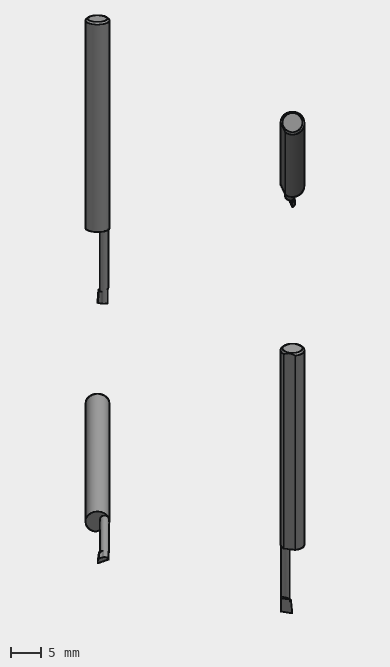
import cadquery as cq
import math

total_length = 50.0
shank_diameter = 4.0
shank_radius = shank_diameter / 2
flat_y = 1.75
shank_chamfer = 0.35

neck_length = 13.0
neck_radius = 0.75
neck_x = shank_radius - neck_radius

rake_face_length = 2.55
head_height = 2.2
tip_x = 0.04
flank_setback = 0.19
flank_width = 0.29
flank_depth = 0.65
flank_bulge = 0.05
heel_width = 0.48
end_dish_angle = 2.0
end_relief_angle = 5.0


def make_shank():
    shank = (
        cq.Workplane("XY", origin=(0, 0, neck_length))
        .circle(shank_radius)
        .extrude(total_length - neck_length)
        .faces(">Z")
        .chamfer(shank_chamfer)
    )
    beyond_flat = cq.Workplane("XY").box(
        shank_diameter, shank_diameter, total_length, centered=(True, False, False)
    )
    return shank.cut(beyond_flat.translate((0, flat_y, 0)))


def make_neck():
    neck = (
        cq.Workplane("XY", origin=(neck_x, 0, 0))
        .circle(neck_radius)
        .extrude(neck_length)
    )
    rake_cut = (
        cq.Workplane("YZ")
        .moveTo(0, 0)
        .lineTo(0, rake_face_length)
        .lineTo(neck_radius, rake_face_length + neck_radius)
        .lineTo(neck_radius, 0)
        .close()
        .extrude(shank_diameter)
    )
    return neck.cut(rake_cut)


def head_section(workplane, edge_x):
    """Half section of the head with its cutting edge at (edge_x, 0)."""
    chord = math.hypot(flank_width, flank_depth)
    flank_middle = (
        edge_x + flank_width / 2 - flank_bulge * flank_depth / chord,
        -flank_depth / 2 - flank_bulge * flank_width / chord,
    )
    return (
        workplane.moveTo(edge_x, 0)
        .threePointArc(flank_middle, (edge_x + flank_width, -flank_depth))
        .lineTo(edge_x + heel_width, -neck_radius)
        .lineTo(neck_x, -neck_radius)
        .lineTo(neck_x, 0)
        .close()
    )


def make_head():
    bottom = head_section(cq.Workplane("XY"), tip_x)
    return head_section(bottom.workplane(offset=head_height), tip_x + flank_setback).loft(ruled=True)


def below_end_face():
    """Block under the tilted end face, which passes through the tip."""
    block = cq.Workplane("XY").box(
        2 * shank_diameter, 2 * shank_diameter, shank_diameter, centered=(True, True, False)
    )
    return (
        block.translate((0, 0, -shank_diameter))
        .rotate((0, 0, 0), (1, 0, 0), -end_relief_angle)
        .rotate((0, 0, 0), (0, 1, 0), -end_dish_angle)
        .translate((tip_x, 0, 0))
    )


tool_end = make_neck().union(make_head()).cut(below_end_face())
result = make_shank().union(tool_end)